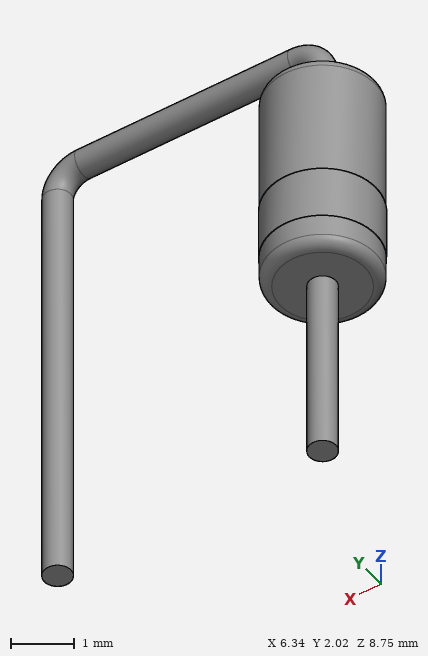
import cadquery as cq


body_diameter = 2.0
body_length = 4.0
body_edge_radius = 0.2
body_bottom_z = 0.5
band_diameter = 2.02
band_width = 1.0
band_offset = 0.6

lead_diameter = 0.5
lead_pitch = 5.08
lead_bottom_z = -3.0
bend_radius = 0.5
lead_stub = 0.5

body_top_z = body_bottom_z + body_length
body_middle_z = (body_bottom_z + body_top_z) / 2
bend_start_z = body_top_z + lead_stub
lead_top_z = bend_start_z + bend_radius


def cylinder(diameter, bottom_z, length):
    """Upright cylinder on the body axis."""
    return cq.Workplane("XY").workplane(offset=bottom_z).circle(diameter / 2).extrude(length)


def make_body():
    """Round-ended body with the slightly raised marking band."""
    body = cylinder(body_diameter, body_bottom_z, body_length).edges("%CIRCLE").fillet(body_edge_radius)
    band = cylinder(band_diameter, body_bottom_z + band_offset, band_width)
    return body.union(band)


def make_straight_lead():
    """Lower lead, running up into the middle of the body."""
    return cylinder(lead_diameter, lead_bottom_z, body_middle_z - lead_bottom_z)


def make_folded_lead():
    """Upper lead: up out of the body, across, and down at the second hole."""
    path = (
        cq.Workplane("XZ")
        .moveTo(0, body_middle_z)
        .lineTo(0, bend_start_z)
        .radiusArc((bend_radius, lead_top_z), bend_radius)
        .lineTo(lead_pitch - bend_radius, lead_top_z)
        .radiusArc((lead_pitch, bend_start_z), bend_radius)
        .lineTo(lead_pitch, lead_bottom_z)
    )
    profile = cq.Workplane("XY").workplane(offset=body_middle_z).circle(lead_diameter / 2)
    return profile.sweep(path)


result = make_body().union(make_straight_lead()).union(make_folded_lead())